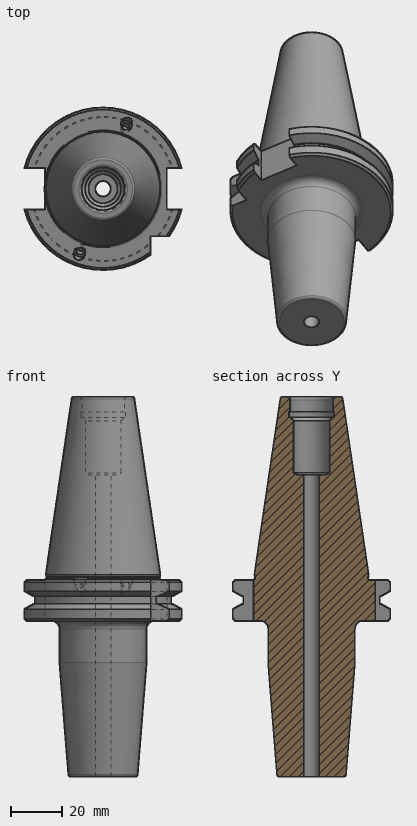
import cadquery as cq
import math

total_length = 148.4
nose_cone_top = 44.7
flange_bottom = 60.8
flange_thickness = 16.0
flange_top = flange_bottom + flange_thickness
taper_bottom = 79.0

nose_radius = 13.5
nose_fillet = 1.0
shank_radius = 17.0
shank_fillet = 3.0

taper_bottom_radius = 22.4
taper_top_radius = 12.2
taper_top_fillet = 0.9
collar_radius = 22.3
collar_bottom = 78.0
undercut_radius = 22.1
undercut_fillet = 0.7

flange_radius = 31.8
flange_chamfer = 0.9
groove_center = 69.0
groove_rim_width = 7.0
groove_floor_width = 3.0
groove_floor_radius = 27.9
groove_flank_angle = 30.0

slot_width = 16.0
left_slot_floor = 22.7
right_slot_floor = 25.0
notch_offset = 18.5

mouth_radius = 8.3
mouth_fillet = 1.2
ring_groove_radius = 8.8
ring_groove_depth = 6.0
mouth_depth = 8.0
thread_radius = 7.0
thread_cone_depth = 9.3
thread_depth = 29.7
drill_tip_radius = 5.6
drill_tip_angle = 120.0
through_radius = 3.0

coolant_pitch_radius = 27.0
coolant_angle = 70.0
coolant_tilt = 25.0
coolant_radius = 2.2
coolant_depth = 2.2
coolant_drill_radius = 1.5
coolant_drill_depth = 6.0


def revolve_profile(points):
    """Turn a closed (radius, height) outline about the Z axis."""
    return cq.Workplane("XZ").polyline(points).close().revolve(360, (0, 0), (0, 1))


def inner_arc_middle(center_radius, center_height, arc_radius, rise):
    """Middle of a quarter arc facing the axis; rise is 1 for its upper half, -1 for its lower half."""
    reach = arc_radius * math.cos(math.pi / 4)
    return (center_radius - reach, center_height + rise * reach)


def make_shank():
    """Tapered nose and cylindrical shank, flaring into the flange through a fillet."""
    fillet_bottom = flange_bottom - shank_fillet
    flare_radius = shank_radius + shank_fillet
    flare_middle = inner_arc_middle(flare_radius, fillet_bottom, shank_fillet, 1)
    profile = (
        cq.Workplane("XZ")
        .lineTo(nose_radius, 0)
        .lineTo(shank_radius, nose_cone_top)
        .lineTo(shank_radius, fillet_bottom)
        .threePointArc(flare_middle, (flare_radius, flange_bottom))
        .lineTo(0, flange_bottom)
        .close()
    )
    shank = profile.revolve(360, (0, 0), (0, 1))
    return shank.faces("<Z").edges().fillet(nose_fillet)


def make_flange():
    """Gripper flange with chamfered rims."""
    flange = cq.Workplane("XY").workplane(offset=flange_bottom)
    return flange.circle(flange_radius).extrude(flange_thickness).edges().chamfer(flange_chamfer)


def make_taper():
    """Spindle taper above a short collar, with a filleted undercut between it and the flange."""
    undercut_top = collar_bottom - (collar_radius - undercut_radius)
    fillet_top = flange_top + undercut_fillet
    flare_radius = undercut_radius + undercut_fillet
    flare_middle = inner_arc_middle(flare_radius, fillet_top, undercut_fillet, -1)
    profile = (
        cq.Workplane("XZ")
        .moveTo(0, flange_top)
        .lineTo(flare_radius, flange_top)
        .threePointArc(flare_middle, (undercut_radius, fillet_top))
        .lineTo(undercut_radius, undercut_top)
        .lineTo(collar_radius, collar_bottom)
        .lineTo(collar_radius, taper_bottom)
        .lineTo(taper_bottom_radius, taper_bottom)
        .lineTo(taper_top_radius, total_length)
        .lineTo(0, total_length)
        .close()
    )
    taper = profile.revolve(360, (0, 0), (0, 1))
    return taper.faces(">Z").edges().fillet(taper_top_fillet)


def make_groove():
    """V-groove cutter round the flange rim, with a square-shouldered floor."""
    half_floor = groove_floor_width / 2
    half_rim = groove_rim_width / 2
    flank_depth = (half_rim - half_floor) / math.tan(math.radians(groove_flank_angle))
    shoulder_radius = flange_radius - flank_depth
    return revolve_profile([
        (groove_floor_radius, groove_center - half_floor),
        (shoulder_radius, groove_center - half_floor),
        (flange_radius, groove_center - half_rim),
        (flange_radius, groove_center + half_rim),
        (shoulder_radius, groove_center + half_floor),
        (groove_floor_radius, groove_center + half_floor),
    ])


def make_flange_block(x_start, x_end, y_start, y_end):
    """Rectangular cutter over the full flange thickness."""
    block = cq.Workplane("XY").box(x_end - x_start, y_end - y_start, flange_thickness, centered=False)
    return block.translate((x_start, y_start, flange_bottom))


def make_bore():
    """Stepped rear bore with a rounded mouth, and the hole through the nose."""
    thread_bottom = total_length - thread_depth
    half_tip = math.radians(drill_tip_angle / 2)
    bore_floor = thread_bottom - (thread_radius - drill_tip_radius) / math.tan(half_tip)
    round_start = total_length - mouth_fillet
    round_radius = mouth_radius + mouth_fillet
    round_middle = inner_arc_middle(round_radius, round_start, mouth_fillet, 1)
    profile = (
        cq.Workplane("XZ")
        .lineTo(through_radius, 0)
        .lineTo(through_radius, bore_floor)
        .lineTo(drill_tip_radius, bore_floor)
        .lineTo(thread_radius, thread_bottom)
        .lineTo(thread_radius, total_length - thread_cone_depth)
        .lineTo(mouth_radius, total_length - mouth_depth)
        .lineTo(ring_groove_radius, total_length - mouth_depth)
        .lineTo(ring_groove_radius, total_length - ring_groove_depth)
        .lineTo(mouth_radius, total_length - ring_groove_depth)
        .lineTo(mouth_radius, round_start)
        .threePointArc(round_middle, (round_radius, total_length))
        .lineTo(0, total_length)
        .close()
    )
    return profile.revolve(360, (0, 0), (0, 1))


def make_coolant_hole(angle):
    """Stepped blind hole that leans towards the axis as it goes down."""
    step_height = (coolant_radius - coolant_drill_radius) / math.tan(math.radians(drill_tip_angle / 2))
    hole = revolve_profile([
        (0, coolant_radius),
        (coolant_radius, coolant_radius),
        (coolant_radius, -coolant_depth),
        (coolant_drill_radius, -coolant_depth - step_height),
        (coolant_drill_radius, -coolant_drill_depth),
        (0, -coolant_drill_depth),
    ])
    hole = hole.rotate((0, 0, 0), (0, 1, 0), coolant_tilt)
    hole = hole.translate((coolant_pitch_radius, 0, flange_top))
    return hole.rotate((0, 0, 0), (0, 0, 1), angle)


half_slot = slot_width / 2
flange = make_flange().cut(make_groove())
result = make_shank().union(flange).union(make_taper()).cut(make_bore())
for hole_angle in (coolant_angle, coolant_angle + 180):
    result = result.cut(make_coolant_hole(hole_angle))
result = result.cut(make_flange_block(-flange_radius, -left_slot_floor, -half_slot, half_slot))
result = result.cut(make_flange_block(right_slot_floor, flange_radius, -half_slot, half_slot))
result = result.cut(make_flange_block(notch_offset, flange_radius, -flange_radius, -notch_offset))